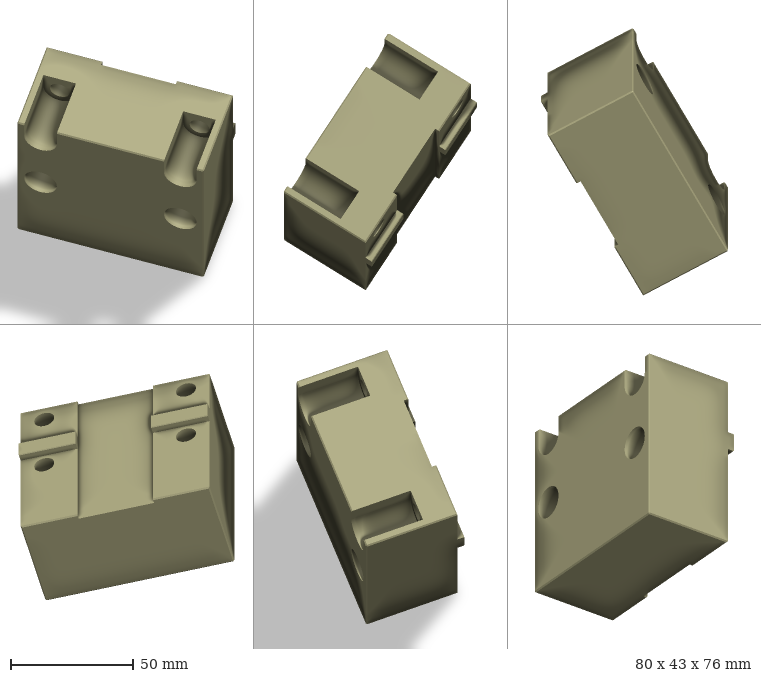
import cadquery as cq

width = 80.0
body_depth = 40.0
height = 76.0
edge_chamfer = 0.6

key_projection = 3.0
key_height = 8.0
key_center_drop = 28.0
key_chamfer = 0.3
channel_width = 32.0
channel_depth = 2.0

hole_diameter = 8.5
counterbore_diameter = 14.0
counterbore_depth = 26.0
hole_spacing = 60.0
upper_hole_drop = 8.0
upper_row_z = height / 2 - upper_hole_drop
lower_row_z = 0.0

front_y = 0.0
back_y = front_y + body_depth


def front_bore(x, z, diameter, depth):
    """Cylinder running from the front face into the block."""
    return cq.Workplane("XZ", origin=(x, front_y, z)).circle(diameter / 2).extrude(-depth)


def make_block():
    """Block with every edge chamfered except the upright edges of the back face."""
    block = cq.Workplane("XY").box(width, body_depth, height, centered=(True, False, True))
    return block.edges("|X or |Y or <Y").chamfer(edge_chamfer)


def make_key():
    """Bar standing out from the back face, chamfered along its two long outer edges."""
    key_z = height / 2 - key_center_drop
    key = cq.Workplane("XY", origin=(0, back_y, key_z)).box(
        width, key_projection, key_height, centered=(True, False, True)
    )
    return key.faces(">Y").edges("|X").chamfer(key_chamfer)


def make_channel():
    """Full-height channel through the key and into the back face."""
    channel_y = back_y - channel_depth
    return cq.Workplane("XY", origin=(0, channel_y, 0)).box(
        channel_width, channel_depth + key_projection, height, centered=(True, False, True)
    )


def make_upper_opening(x):
    """Straight-sided opening from an upper counterbore through the top face."""
    return cq.Workplane("XY", origin=(x, front_y, upper_row_z)).box(
        counterbore_diameter, counterbore_depth, upper_hole_drop, centered=(True, False, False)
    )


result = make_block().union(make_key()).cut(make_channel())

for hole_x in (-hole_spacing / 2, hole_spacing / 2):
    for hole_z in (lower_row_z, upper_row_z):
        result = result.cut(front_bore(hole_x, hole_z, hole_diameter, body_depth))
        result = result.cut(front_bore(hole_x, hole_z, counterbore_diameter, counterbore_depth))
    result = result.cut(make_upper_opening(hole_x))